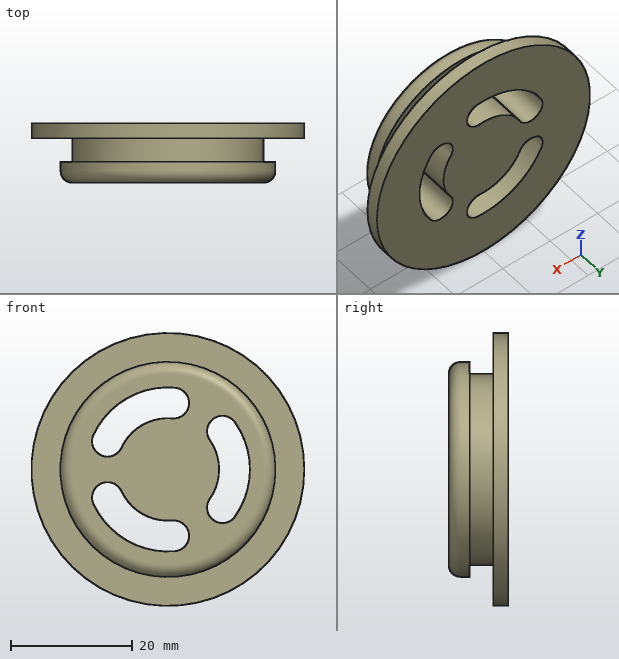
import cadquery as cq
import math

flange_diameter = 45.0
neck_diameter = 31.6
head_diameter = 35.45
total_depth = 9.85
flange_thickness = 2.5
head_thickness = 3.45
head_fillet = 2.0

slot_count = 3
slot_mid_radius = 11.0
slot_width = 5.05
slot_half_angle = 35.0

neck_length = total_depth - flange_thickness - head_thickness


def polar(radius, angle):
    """Point at a radius and an angle in degrees."""
    return (radius * math.cos(math.radians(angle)), radius * math.sin(math.radians(angle)))


def plug_body():
    """Flange, neck and head stacked towards -Y, with the head's front rim rounded."""
    return (
        cq.Workplane("XZ")
        .circle(flange_diameter / 2)
        .extrude(flange_thickness)
        .faces("<Y").workplane()
        .circle(neck_diameter / 2)
        .extrude(neck_length)
        .faces("<Y").workplane()
        .circle(head_diameter / 2)
        .extrude(head_thickness)
        .faces("<Y").edges()
        .fillet(head_fillet)
    )


def curved_slot(mid_angle):
    """Round-ended slot along an arc, centred on mid_angle and running the full depth."""
    inner = slot_mid_radius - slot_width / 2
    outer = slot_mid_radius + slot_width / 2
    start = mid_angle - slot_half_angle
    end = mid_angle + slot_half_angle

    def cap_tip(angle, direction):
        x, z = polar(slot_mid_radius, angle)
        dx, dz = polar(slot_width / 2, angle + direction * 90)
        return (x + dx, z + dz)

    return (
        cq.Workplane("XZ")
        .moveTo(*polar(outer, start))
        .threePointArc(polar(outer, mid_angle), polar(outer, end))
        .threePointArc(cap_tip(end, 1), polar(inner, end))
        .threePointArc(polar(inner, mid_angle), polar(inner, start))
        .threePointArc(cap_tip(start, -1), polar(outer, start))
        .close()
        .extrude(total_depth)
    )


result = plug_body()
for index in range(slot_count):
    result = result.cut(curved_slot(index * 360 / slot_count))